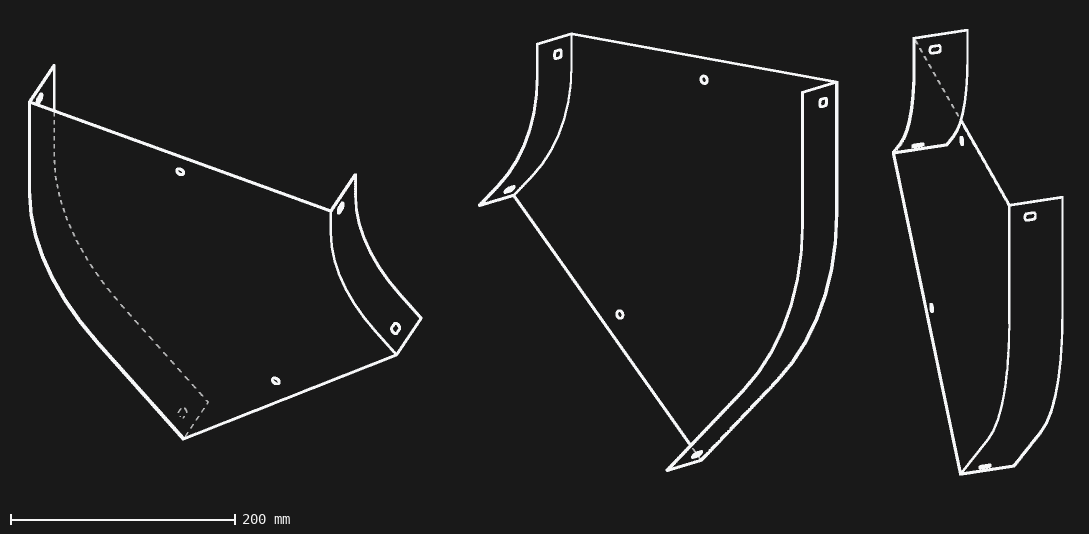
import cadquery as cq
import math


width = 300.0
height = 50.0
thickness = 0.8
bend_angle = 45.0
inner_radius = 150.0
inner_straight = 30.0
outer_radius = 230.0

plate_hole_diameter = 7.0
plate_hole_inset = 20.0
slot_diameter = 10.0
slot_width = 7.0
slot_inset = 15.0
slot_height = 20.0

bend = math.radians(bend_angle)
half_tan = math.tan(bend / 2)
inner_corner = inner_straight + inner_radius * half_tan
outer_corner = inner_corner + width * half_tan
outer_straight = outer_corner - outer_radius * half_tan


def edge_points(x, straight, radius):
    """Start, bend start, bend middle, bend end and end of one curved edge.

    The edge runs down from (x, 0) and bends toward +X.
    """
    centre_x = x + radius

    def on_bend(angle):
        return (centre_x - radius * math.cos(angle), -straight - radius * math.sin(angle))

    bend_end = on_bend(bend)
    end = (bend_end[0] + straight * math.sin(bend), bend_end[1] - straight * math.cos(bend))
    return (x, 0), on_bend(0), on_bend(bend / 2), bend_end, end


def cover_body(inset, depth):
    """Solid of the cover outline, its curved edges moved inward by inset, from Y = 0 to depth."""
    outer = edge_points(inset, outer_straight, outer_radius - inset)
    inner = edge_points(width - inset, inner_straight, inner_radius + inset)
    return (
        cq.Workplane("XZ")
        .moveTo(*outer[0])
        .lineTo(*outer[1])
        .threePointArc(outer[2], outer[3])
        .lineTo(*outer[4])
        .lineTo(*inner[4])
        .lineTo(*inner[3])
        .threePointArc(inner[2], inner[1])
        .lineTo(*inner[0])
        .close()
        .extrude(-depth)
    )


def end_cutters():
    """Cutters for the plate hole and the flange slots at the upper end."""
    hole = (
        cq.Workplane("XZ")
        .center(width / 2, -plate_hole_inset)
        .circle(plate_hole_diameter / 2)
        .extrude(-height)
    )
    slot_plane = cq.Workplane("YZ").center(slot_height, -slot_inset)
    round_bar = slot_plane.circle(slot_diameter / 2).extrude(width)
    flat_bar = slot_plane.rect(slot_diameter, slot_width).extrude(width)
    slots = round_bar.intersect(flat_bar)
    return hole.union(slots)


def mirrored_to_lower_end(shape):
    """Mirror a shape of the upper end in the mitre plane onto the lower end."""
    mitre_point = (0, 0, -outer_corner)
    mitre_normal = cq.Vector(math.sin(bend / 2), 0, -math.cos(bend / 2))
    return shape.mirror(mitre_normal, mitre_point)


outside = cover_body(0, height)
cavity = cover_body(thickness, height).translate((0, thickness, 0))
upper_cutters = end_cutters()

result = outside.cut(cavity).cut(upper_cutters).cut(mirrored_to_lower_end(upper_cutters))